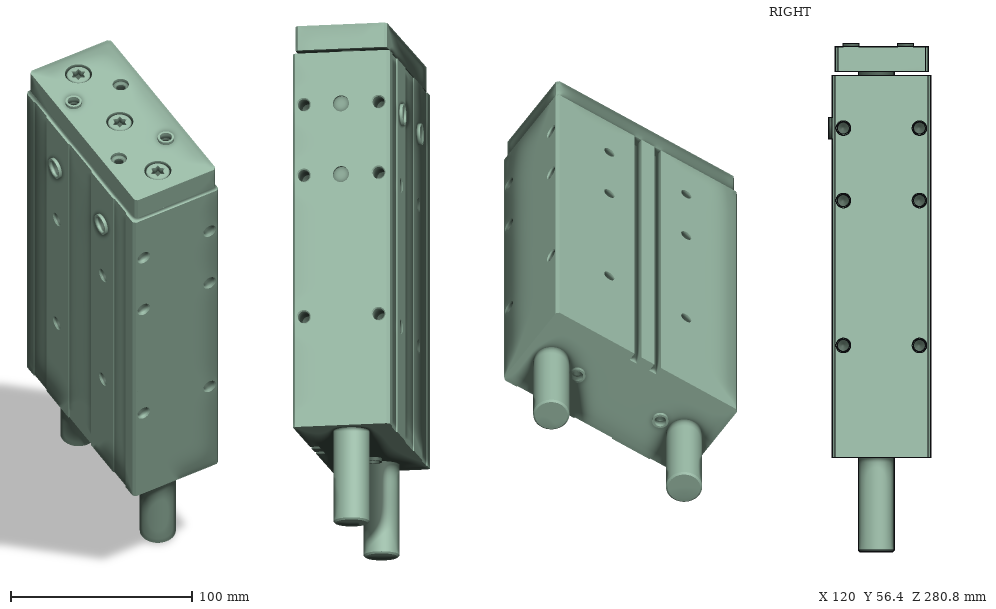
import cadquery as cq
import math

housing_width = 120.0
housing_depth = 54.5
housing_height = 211.2
housing_edge_chamfer = 1.5

recess_depth = 0.6
centre_recess_width = 25.0
side_recess_inner_x = 37.0
side_recess_outer_x = 51.0

sensor_slot_x = 6.5
sensor_slot_width = 4.4
sensor_slot_depth = 5.0

guide_y = -2.8
piston_y = -1.75
guide_rod_x = 44.0
guide_rod_diameter = 20.0
guide_rod_overhang = 52.0
guide_rod_chamfer = 1.0
piston_rod_diameter = 10.0
piston_rod_insertion = 30.0

plate_gap = 2.0
plate_thickness = 13.75
plate_width = 118.0
plate_depth = 51.5
plate_y = 0.2
plate_corner_chamfer = 1.5

screw_head_diameter = 13.0
screw_bore_diameter = 15.0
screw_groove_depth = 7.0
screw_head_setback = 0.5
screw_head_chamfer = 0.5
star_outer_diameter = 8.6
star_inner_diameter = 5.6
star_depth = 4.0
star_points = 6

sleeve_protrusion = 1.85
sleeve_length = 4.0
sleeve_seat_depth = sleeve_length - sleeve_protrusion
small_sleeve_diameter = 9.0
small_sleeve_bore = 6.6
large_sleeve_diameter = 12.0
large_sleeve_bore = 9.0
large_sleeve_mouth = 9.8
small_thread_diameter = 4.92
small_thread_mouth = 6.0
small_thread_chamfer = (small_thread_mouth - small_thread_diameter) / 2
small_thread_depth = 12.0

plate_seat_spacing_x = 50.0
plate_seat_spacing_y = 30.0
bottom_sleeve_x = 27.5

row_heights = (62.0, 142.0, 182.0)
front_hole_x = 25.5
thread_diameter = 6.65
thread_mouth_diameter = 8.0
thread_mouth_chamfer = (thread_mouth_diameter - thread_diameter) / 2
side_hole_y = 21.0
side_hole_depth = 14.0
drill_point_angle = 118.0
port_diameter = 9.0
port_depth = 5.0
plug_setback = 2.0
port_heights = row_heights[1:]

front_y = -housing_depth / 2
plate_bottom = housing_height + plate_gap
plate_top = plate_bottom + plate_thickness
rod_points = [(side * guide_rod_x, guide_y) for side in (-1, 1)]
screw_points = rod_points + [(0, piston_y)]
plate_seat_points = [
    (sx * plate_seat_spacing_x / 2, piston_y + sy * plate_seat_spacing_y / 2)
    for sx in (-1, 1)
    for sy in (-1, 1)
]
fitted_plate_points = [(x, y) for x, y in plate_seat_points if x * (y - piston_y) > 0]
bottom_sleeve_points = [(side * bottom_sleeve_x, piston_y) for side in (-1, 1)]
front_sleeve_points = [(side * front_hole_x, row_heights[-1]) for side in (-1, 1)]


def cylinder(start, direction, diameter, length):
    """A solid cylinder that grows from start along direction."""
    solid = cq.Solid.makeCylinder(diameter / 2, length, cq.Vector(*start), cq.Vector(*direction))
    return cq.Workplane(solid)


def cone(start, direction, start_diameter, end_diameter, length):
    """A solid cone that grows from start along direction."""
    solid = cq.Solid.makeCone(
        start_diameter / 2, end_diameter / 2, length, cq.Vector(*start), cq.Vector(*direction)
    )
    return cq.Workplane(solid)


def upright_box(x_min, x_max, y_min, y_max):
    """A box over the full height of the housing."""
    block = cq.Workplane("XY").box(x_max - x_min, y_max - y_min, housing_height, centered=False)
    return block.translate((x_min, y_min, 0))


def make_sleeve(seat_face, outward, diameter, bore):
    """A centring sleeve seated in a face at seat_face and standing out along outward."""
    start = tuple(p - sleeve_seat_depth * d for p, d in zip(seat_face, outward))
    tube = cylinder(start, outward, diameter, sleeve_length)
    return tube.cut(cylinder(start, outward, bore, sleeve_length))


def make_front_sleeve(x, z):
    """A large sleeve in the housing's front face, with a countersunk mouth."""
    sleeve = make_sleeve((x, front_y, z), (0, -1, 0), large_sleeve_diameter, large_sleeve_bore)
    mouth = (x, front_y - sleeve_protrusion, z)
    mouth_chamfer = (large_sleeve_mouth - large_sleeve_bore) / 2
    return sleeve.cut(cone(mouth, (0, 1, 0), large_sleeve_mouth, large_sleeve_bore, mouth_chamfer))


def cut_sensor_slots(body):
    back_y = housing_depth / 2
    for side in (-1, 1):
        centre = side * sensor_slot_x
        half = sensor_slot_width / 2
        body = body.cut(upright_box(centre - half, centre + half, back_y - sensor_slot_depth, back_y))
    return body


def cut_front_recesses(body):
    half = centre_recess_width / 2
    body = body.cut(upright_box(-half, half, front_y, front_y + recess_depth))
    for side in (-1, 1):
        side_recess = (
            cq.Workplane("XY")
            .moveTo(side * side_recess_inner_x, front_y)
            .lineTo(side * side_recess_outer_x, front_y)
            .lineTo(side * (side_recess_outer_x - recess_depth), front_y + recess_depth)
            .lineTo(side * (side_recess_inner_x + recess_depth), front_y + recess_depth)
            .close()
            .extrude(housing_height)
        )
        body = body.cut(side_recess)
    return body


def cut_front_holes(body):
    for side in (-1, 1):
        for z in row_heights:
            mouth = (side * front_hole_x, front_y, z)
            body = body.cut(cylinder(mouth, (0, 1, 0), thread_diameter, housing_depth))
            if z == row_heights[-1]:
                body = body.cut(cylinder(mouth, (0, 1, 0), large_sleeve_diameter, sleeve_seat_depth))
            else:
                body = body.cut(
                    cone(mouth, (0, 1, 0), thread_mouth_diameter, thread_diameter, thread_mouth_chamfer)
                )
    return body


def cut_side_holes(body):
    tip_length = thread_diameter / 2 / math.tan(math.radians(drill_point_angle / 2))
    for side in (-1, 1):
        inward = (-side, 0, 0)
        face_x = side * housing_width / 2
        floor_x = face_x - side * side_hole_depth
        for z in row_heights:
            for y in (-side_hole_y, side_hole_y):
                mouth = (face_x, y, z)
                body = body.cut(cylinder(mouth, inward, thread_diameter, side_hole_depth))
                body = body.cut(cone((floor_x, y, z), inward, thread_diameter, 0, tip_length))
                body = body.cut(
                    cone(mouth, inward, thread_mouth_diameter, thread_diameter, thread_mouth_chamfer)
                )
    return body


def cut_ports(body):
    for z in port_heights:
        mouth = (-housing_width / 2, 0, z)
        body = body.cut(cylinder(mouth, (1, 0, 0), port_diameter, port_depth))
    return body


def make_port_plug(z):
    """A plain round plug that fills a port up to a little below the housing's side face."""
    outer_end = (-housing_width / 2 + plug_setback, 0, z)
    return cylinder(outer_end, (1, 0, 0), port_diameter, port_depth - plug_setback)


def make_housing():
    body = upright_box(-housing_width / 2, housing_width / 2, front_y, housing_depth / 2)
    body = body.edges("|Z").chamfer(housing_edge_chamfer)
    body = cut_front_recesses(body)
    body = cut_sensor_slots(body)
    body = cut_front_holes(body)
    body = cut_side_holes(body)
    body = cut_ports(body)
    for x, y in rod_points:
        body = body.cut(cylinder((x, y, 0), (0, 0, 1), guide_rod_diameter, housing_height))
    piston_end = (0, piston_y, housing_height - piston_rod_insertion)
    body = body.cut(cylinder(piston_end, (0, 0, 1), piston_rod_diameter, piston_rod_insertion))
    for x, y in bottom_sleeve_points:
        body = body.cut(cylinder((x, y, 0), (0, 0, 1), small_sleeve_diameter, sleeve_seat_depth))
        body = body.cut(cylinder((x, y, 0), (0, 0, 1), small_thread_diameter, small_thread_depth))
    return body


def star_socket():
    """The star-shaped drive socket, standing on the origin."""
    points = []
    for i in range(2 * star_points):
        radius = (star_outer_diameter if i % 2 == 0 else star_inner_diameter) / 2
        angle = math.radians(90 + i * 180 / star_points)
        points.append((radius * math.cos(angle), radius * math.sin(angle)))
    return cq.Workplane("XY").polyline(points).close().extrude(star_depth)


def make_slide():
    """End plate with its two guide rods, piston rod and screw heads."""
    body = (
        cq.Workplane("XY", origin=(0, plate_y, plate_bottom))
        .rect(plate_width, plate_depth)
        .extrude(plate_thickness)
        .edges("|Z")
        .chamfer(plate_corner_chamfer)
    )
    for x, y in rod_points:
        rod_end = (x, y, -guide_rod_overhang)
        rod = cylinder(rod_end, (0, 0, 1), guide_rod_diameter, guide_rod_overhang + plate_bottom)
        body = body.union(rod.faces("<Z").chamfer(guide_rod_chamfer))
    piston_end = (0, piston_y, housing_height - piston_rod_insertion)
    body = body.union(cylinder(piston_end, (0, 0, 1), piston_rod_diameter, piston_rod_insertion + plate_gap))

    head_top = plate_top - screw_head_setback
    groove_floor = plate_top - screw_groove_depth
    for x, y in screw_points:
        body = body.cut(cylinder((x, y, groove_floor), (0, 0, 1), screw_bore_diameter, screw_groove_depth))
        head = cylinder((x, y, groove_floor), (0, 0, 1), screw_head_diameter, head_top - groove_floor)
        head = head.faces(">Z").chamfer(screw_head_chamfer)
        body = body.union(head.cut(star_socket().translate((x, y, head_top - star_depth))))

    for x, y in plate_seat_points:
        face = (x, y, plate_top)
        body = body.cut(cylinder(face, (0, 0, -1), small_sleeve_diameter, sleeve_seat_depth))
        body = body.cut(cylinder(face, (0, 0, -1), small_thread_diameter, plate_thickness))
        seat_floor = (x, y, plate_top - sleeve_seat_depth)
        body = body.cut(
            cone(seat_floor, (0, 0, -1), small_thread_mouth, small_thread_diameter, small_thread_chamfer)
        )
    return body


housing = make_housing()
slide = make_slide()
plate_sleeves = [
    make_sleeve((x, y, plate_top), (0, 0, 1), small_sleeve_diameter, small_sleeve_bore)
    for x, y in fitted_plate_points
]
bottom_sleeves = [
    make_sleeve((x, y, 0), (0, 0, -1), small_sleeve_diameter, small_sleeve_bore)
    for x, y in bottom_sleeve_points
]
front_sleeves = [make_front_sleeve(x, z) for x, z in front_sleeve_points]
port_plugs = [make_port_plug(z) for z in port_heights]

bodies = [housing, slide, *plate_sleeves, *bottom_sleeves, *front_sleeves, *port_plugs]
result = cq.Compound.makeCompound([body.val() for body in bodies])